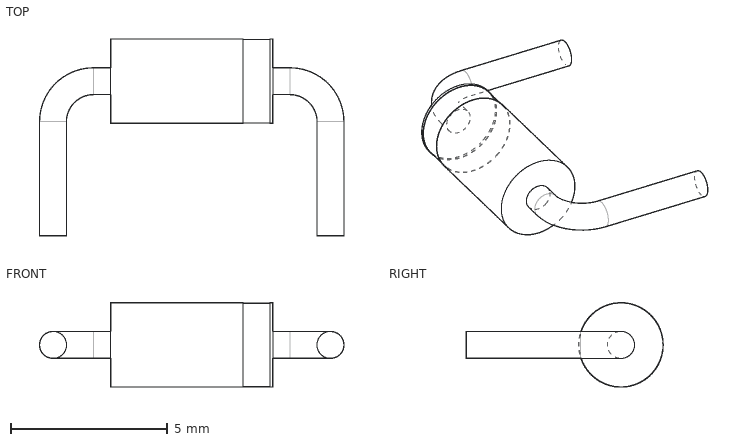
import cadquery as cq

overall_length = 9.75
lead_diameter = 0.87
bend_radius = 1.3
leg_end = 4.95
body_diameter = 2.71
body_length = 5.2
band_diameter = 2.68
band_start = 1.64
band_end = 2.51

half_body = body_length / 2
leg_x = (overall_length - lead_diameter) / 2


def cylinder_along_x(start, end, diameter):
    return cq.Workplane("YZ", origin=(start, 0, 0)).circle(diameter / 2).extrude(end - start)


def make_body():
    main = cylinder_along_x(-half_body, band_start, body_diameter)
    band = cylinder_along_x(band_start, band_end, band_diameter)
    rim = cylinder_along_x(band_end, half_body, body_diameter)
    return main.union(band).union(rim)


def make_lead_pair():
    """Sweep one wire from the body centre to the +X leg tip, then mirror it."""
    bend_start_x = leg_x - bend_radius
    wire_path = (
        cq.Workplane("XY")
        .lineTo(bend_start_x, 0)
        .tangentArcPoint((leg_x, -bend_radius), relative=False)
        .lineTo(leg_x, -leg_end)
    )
    lead = cq.Workplane("YZ").circle(lead_diameter / 2).sweep(wire_path)
    return lead.union(lead.mirror("YZ"))


result = make_body().union(make_lead_pair())